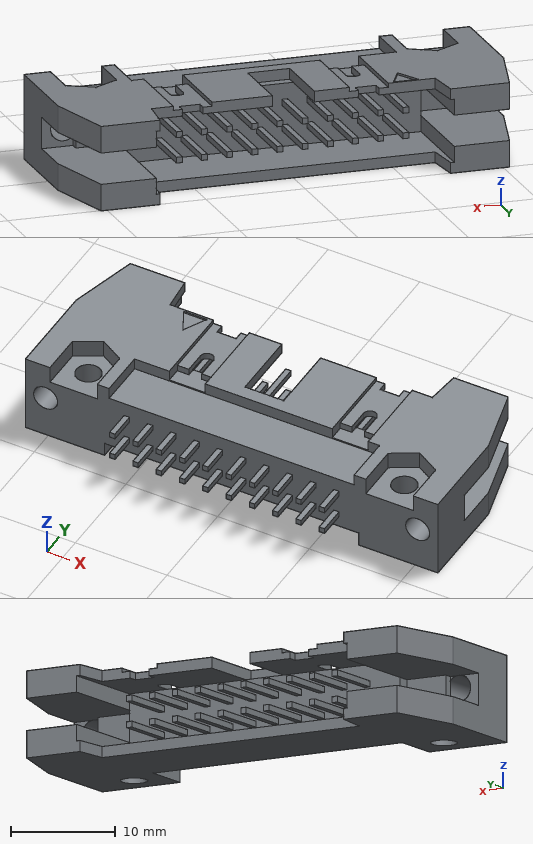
import cadquery as cq
import math


length = 45
height = 8.5
half_length = length / 2
shoulder_y = 13.75
arm_tip_y = 17.32
arm_corner_y = 10.05
arm_outer_tip_x = 20.6
arm_inner_tip_x = 14.65
arm_inner_root_x = 14.3

wall = 1.1
cavity_half_length = 15.05
cavity_floor_y = 7.45
arm_slot_height = 3.15
arm_slot_floor_y = 6.1
arm_slot_outer_floor_y = 5.25
arm_slot_step_x = 19.35

pins_per_row = 10
row_length = 22.85
pin_pitch = row_length / (pins_per_row - 1)
row_spacing = 2.55
pin_side = 0.6
pin_tail = 2.9
pin_tip_y = 13.55

recess_y = 5.05
top_recess_length = 26.75
top_recess_depth = 1.2
bottom_recess_length = 27.7
bottom_recess_depth = 1.5

hole_diameter = 2.6
side_hole_x = 20.3
side_hole_z = 4.55
nut_x = 17.25
nut_y = 2.92
nut_width = 5.18
nut_depth = 1.8

key_width = 4.25
key_floor_y = 6.5

latch_positions = (-3 * pin_pitch, 4 * pin_pitch)
latch_width = 3.9
latch_drop = 0.4
latch_step_y = 6.6
latch_slot_width = 1.4
latch_slot_end_y = 9.65
latch_notch_width = 2.05
latch_notch_depth = 0.95

mark_x = -row_length / 2
mark_width = 2.5
mark_base_y = 13.55
mark_apex_y = 11.05
mark_depth = 0.2

sides = (-1, 1)
overrun = 0.45


def box(x_range, y_range, z_range):
    """Box between the given lower and upper limits."""
    limits = (x_range, y_range, z_range)
    sizes = [high - low for low, high in limits]
    corner = tuple(low for low, high in limits)
    return cq.Workplane("XY").box(*sizes, centered=False).translate(corner)


def centred(centre, size):
    """Limits of a stretch with the given centre and size."""
    return (centre - size / 2, centre + size / 2)


def make_body():
    right_half = [
        (half_length, 0),
        (half_length, arm_corner_y),
        (arm_outer_tip_x, arm_tip_y),
        (arm_inner_tip_x, arm_tip_y),
        (arm_inner_root_x, shoulder_y),
    ]
    left_half = [(-x, y) for x, y in reversed(right_half)]
    return cq.Workplane("XY").polyline(right_half + left_half).close().extrude(height)


def cut_cavity(body):
    open_y = arm_tip_y + overrun
    cavity_z = (wall, height - wall)
    slot_z = centred(height / 2, arm_slot_height)
    body = body.cut(box(centred(0, 2 * cavity_half_length), (cavity_floor_y, open_y), cavity_z))
    body = body.cut(box(centred(0, length), (cavity_floor_y, open_y), slot_z))
    for side in sides:
        inner_slot = sorted((side * cavity_half_length, side * half_length))
        outer_slot = sorted((side * arm_slot_step_x, side * half_length))
        body = body.cut(box(inner_slot, (arm_slot_floor_y, open_y), slot_z))
        body = body.cut(box(outer_slot, (arm_slot_outer_floor_y, open_y), slot_z))
    return body


def cut_face_recesses(body):
    recess = (-overrun, recess_y)
    top_z = (height - top_recess_depth, height + overrun)
    bottom_z = (-overrun, bottom_recess_depth)
    body = body.cut(box(centred(0, top_recess_length), recess, top_z))
    return body.cut(box(centred(0, bottom_recess_length), recess, bottom_z))


def cut_mounting(body):
    """Side hole along Y, and nut pocket with hole along Z, at each end."""
    pocket_z = (height - nut_depth, height + overrun)
    hexagon_diameter = nut_width / math.cos(math.radians(30))
    for side in sides:
        x = side * nut_x
        side_hole = (
            cq.Workplane("XZ")
            .center(side * side_hole_x, side_hole_z)
            .circle(hole_diameter / 2)
            .extrude(-arm_slot_outer_floor_y)
        )
        nut_hole = cq.Workplane("XY").center(x, nut_y).circle(hole_diameter / 2).extrude(height)
        hexagon = (
            cq.Workplane("XY", origin=(x, nut_y, height - nut_depth))
            .transformed(rotate=(0, 0, 90))
            .polygon(6, hexagon_diameter)
            .extrude(nut_depth)
        )
        nut_entry = box(centred(x, nut_width), (-overrun, nut_y), pocket_z)
        body = body.cut(side_hole).cut(nut_hole).cut(hexagon).cut(nut_entry)
    return body


def cut_key(body):
    key_y = (key_floor_y, shoulder_y + overrun)
    return body.cut(box(centred(0, key_width), key_y, (height - wall, height + overrun)))


def cut_latch(body, x):
    """Sunken latch with a step behind it, a round-ended slot and a notch in its tip."""
    above = height + overrun
    cavity_top = height - wall
    slot_radius = latch_slot_width / 2
    slot_centre_y = latch_slot_end_y - slot_radius
    slot_x = centred(x, latch_slot_width)

    channel = box(centred(x, latch_width), (recess_y, shoulder_y), (height - latch_drop, above))
    step = box(centred(x, latch_width), (recess_y, latch_step_y), (cavity_top, above))
    slot = box(slot_x, (latch_step_y, slot_centre_y), (cavity_top, above))
    slot_end = (
        cq.Workplane("XY", origin=(x, slot_centre_y, cavity_top))
        .circle(slot_radius)
        .extrude(above - cavity_top)
    )
    notch_y = (shoulder_y - latch_notch_depth, shoulder_y + overrun)
    notch = box(centred(x, latch_notch_width), notch_y, (cavity_top, above))
    for cutter in (channel, step, slot, slot_end, notch):
        body = body.cut(cutter)
    return body


def cut_pin_one_mark(body):
    triangle = (
        cq.Workplane("XY", origin=(mark_x, 0, height - mark_depth))
        .polyline([(-mark_width / 2, mark_base_y), (mark_width / 2, mark_base_y), (0, mark_apex_y)])
        .close()
        .extrude(mark_depth)
    )
    return body.cut(triangle)


def add_pins(body):
    for row_side in sides:
        pin_z = height / 2 + row_side * row_spacing / 2
        for index in range(pins_per_row):
            pin_x = index * pin_pitch - row_length / 2
            pin_limits = (centred(pin_x, pin_side), (-pin_tail, pin_tip_y), centred(pin_z, pin_side))
            body = body.union(box(*pin_limits))
    return body


result = make_body()
result = cut_cavity(result)
result = cut_face_recesses(result)
result = cut_mounting(result)
result = cut_key(result)
for latch_x in latch_positions:
    result = cut_latch(result, latch_x)
result = cut_pin_one_mark(result)
result = add_pins(result)